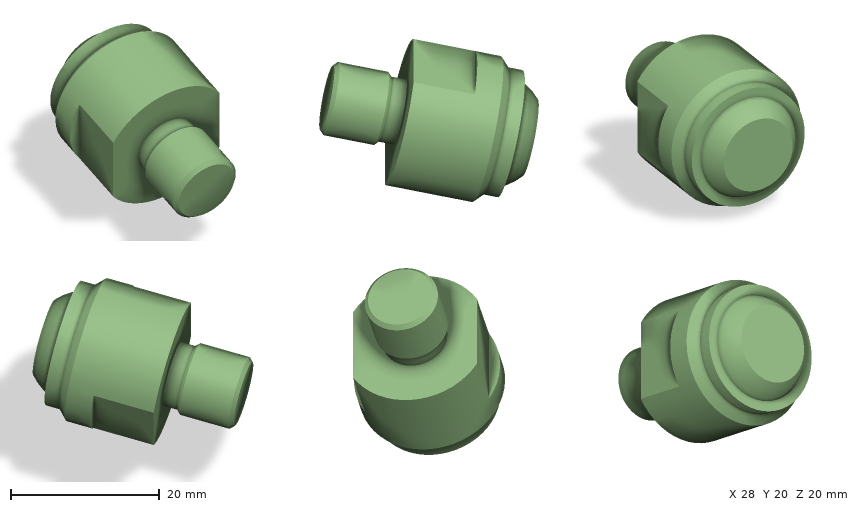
import cadquery as cq
import math

total_length = 28.0
collar_start = 2.72
cone_start = 4.7
cone_end = 6.0
flats_start = 9.58
body_end = 18.0
neck_end = 20.0

body_radius = 10.0
collar_radius = 8.7
neck_radius = 4.45
stud_radius = 5.0
stud_chamfer = stud_radius - neck_radius
flat_half_width = 8.48

ball_radius = 8.0
ball_center = 6.0


def make_ball():
    """Ball with its protruding end cut flat, turned about the X axis."""
    flat_radius = math.sqrt(ball_radius**2 - ball_center**2)
    return (
        cq.Workplane("XZ")
        .lineTo(0, flat_radius)
        .threePointArc((ball_center, ball_radius), (ball_center + ball_radius, 0))
        .close()
        .revolve(360, (0, 0, 0), (1, 0, 0))
    )


def make_turned_blank():
    """Collar, cone, body, neck and chamfered stud turned about the X axis."""
    profile = [
        (collar_start, 0),
        (collar_start, collar_radius),
        (cone_start, collar_radius),
        (cone_end, body_radius),
        (body_end, body_radius),
        (body_end, neck_radius),
        (neck_end, neck_radius),
        (neck_end + stud_chamfer, stud_radius),
        (total_length - stud_chamfer, stud_radius),
        (total_length, stud_radius - stud_chamfer),
        (total_length, 0),
    ]
    return cq.Workplane("XZ").polyline(profile).close().revolve(360, (0, 0, 0), (1, 0, 0))


def make_flat_cutter(side):
    """Block that removes one wrench flat; side is +1 or -1 along Y."""
    length = body_end - flats_start
    depth = body_radius
    return (
        cq.Workplane("XY")
        .box(length, depth, 2 * body_radius, centered=(False, True, True))
        .translate((flats_start, side * (flat_half_width + depth / 2), 0))
    )


def make_housing(ball):
    """Turned housing with two wrench flats and a spherical socket."""
    housing = make_turned_blank()
    for side in (-1, 1):
        housing = housing.cut(make_flat_cutter(side))
    return housing.cut(ball)


ball = make_ball()
housing = make_housing(ball)

result = cq.Compound.makeCompound([*housing.solids().vals(), *ball.solids().vals()])